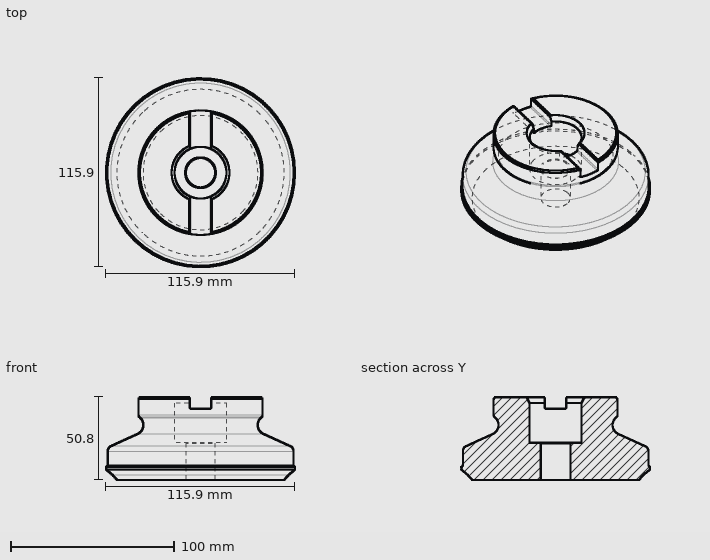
import cadquery as cq
import math

outer_diameter = 115.9
height = 50.8
rim_radius = outer_diameter / 2

base_radius = 51.2
base_taper_radius = 54.0
base_taper_height = 3.1
rim_underside_radius = 57.2
rim_underside_height = 5.8
rim_bottom = 6.6
rim_top = 8.0

skirt_radius = 114.1 / 2
shoulder_start = 17.6
shoulder_fillet = 3.6
cone_angle = math.radians(24.5)

neck_arc_radius = 5.9
neck_center_radius = 41.0
underside_angle = math.radians(45)

collar_radius = 76.2 / 2
collar_bottom = 40.0
collar_round = 2.1
collar_chamfer = 1.0

bore_diameter = 31.8
bore_floor = 23.0
countersink_diameter = 35.5
countersink_depth = 3.5
through_diameter = 18.0
through_chamfer = 0.5

slot_width = 13.0
slot_depth = 7.0
slot_fillet = 0.7
slot_chamfer = 0.7


def point_on_circle(center, radius, angle):
    return (center[0] + radius * math.cos(angle), center[1] + radius * math.sin(angle))


def make_body():
    """Revolve the outer profile, given as (radius, height) points."""
    shoulder_center = (skirt_radius - shoulder_fillet, shoulder_start)
    shoulder_end_angle = math.pi / 2 - cone_angle
    shoulder_mid = point_on_circle(shoulder_center, shoulder_fillet, shoulder_end_angle / 2)
    shoulder_end = point_on_circle(shoulder_center, shoulder_fillet, shoulder_end_angle)

    center_rise = (
        shoulder_fillet + neck_arc_radius
        + (shoulder_center[0] - neck_center_radius) * math.sin(cone_angle)
    ) / math.cos(cone_angle)
    neck_center = (neck_center_radius, shoulder_start + center_rise)
    neck_start = point_on_circle(neck_center, neck_arc_radius, math.pi + shoulder_end_angle)
    neck_mid = point_on_circle(neck_center, neck_arc_radius, math.pi)
    neck_end = point_on_circle(neck_center, neck_arc_radius, math.pi - underside_angle)

    collar_center = (collar_radius - collar_round, collar_bottom)
    collar_round_start = point_on_circle(collar_center, collar_round, -underside_angle)
    collar_round_mid = point_on_circle(collar_center, collar_round, -underside_angle / 2)

    profile = (
        cq.Workplane("XZ")
        .lineTo(base_radius, 0)
        .lineTo(base_taper_radius, base_taper_height)
        .lineTo(rim_underside_radius, rim_underside_height)
        .lineTo(rim_radius, rim_bottom)
        .lineTo(rim_radius, rim_top)
        .lineTo(skirt_radius, rim_top + rim_radius - skirt_radius)
        .lineTo(skirt_radius, shoulder_start)
        .threePointArc(shoulder_mid, shoulder_end)
        .lineTo(*neck_start)
        .threePointArc(neck_mid, neck_end)
        .lineTo(*collar_round_start)
        .threePointArc(collar_round_mid, (collar_radius, collar_bottom))
        .lineTo(collar_radius, height - collar_chamfer)
        .lineTo(collar_radius - collar_chamfer, height)
        .lineTo(0, height)
        .close()
    )
    return profile.revolve(360, (0, 0, 0), (0, 1, 0))


def make_bore():
    """Countersunk blind bore with a smaller chamfered hole through its floor."""
    bore_radius = bore_diameter / 2
    through_radius = through_diameter / 2
    profile = (
        cq.Workplane("XZ")
        .lineTo(through_radius, 0)
        .lineTo(through_radius, bore_floor - through_chamfer)
        .lineTo(through_radius + through_chamfer, bore_floor)
        .lineTo(bore_radius, bore_floor)
        .lineTo(bore_radius, height - countersink_depth)
        .lineTo(countersink_diameter / 2, height)
        .lineTo(0, height)
        .close()
    )
    return profile.revolve(360, (0, 0, 0), (0, 1, 0))


def make_slot():
    """Slot across the collar with rounded floor corners and chamfered top edges."""
    half_width = slot_width / 2
    floor = height - slot_depth
    half_floor = half_width - slot_fillet
    corner_offset = slot_fillet * math.sqrt(0.5)
    corner_mid = (half_floor + corner_offset, floor + slot_fillet - corner_offset)
    profile = (
        cq.Workplane("XZ")
        .moveTo(-half_floor, floor)
        .lineTo(half_floor, floor)
        .threePointArc(corner_mid, (half_width, floor + slot_fillet))
        .lineTo(half_width, height - slot_chamfer)
        .lineTo(half_width + slot_chamfer, height)
        .lineTo(-half_width - slot_chamfer, height)
        .lineTo(-half_width, height - slot_chamfer)
        .lineTo(-half_width, floor + slot_fillet)
        .threePointArc((-corner_mid[0], corner_mid[1]), (-half_floor, floor))
        .close()
    )
    return profile.extrude(rim_radius, both=True)


result = make_body().cut(make_bore()).cut(make_slot())